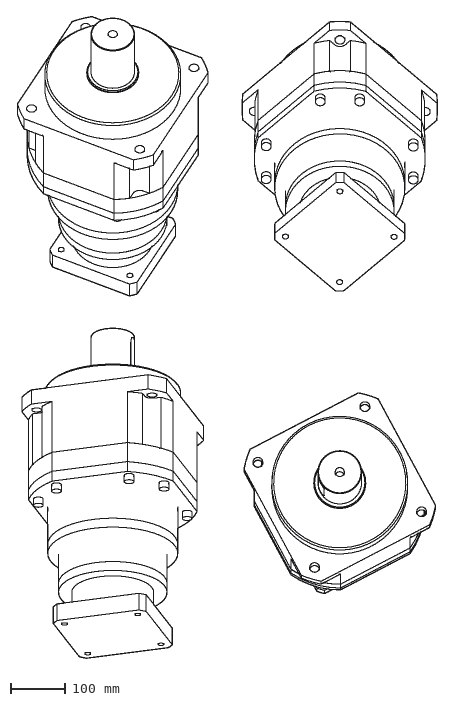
import cadquery as cq
import math


MOTOR_PLATE_TOP = 33.5
INPUT_DISC_BOTTOM = 84.0
INPUT_TOP = 102.0
STAGE_2_SHOULDER = 162.5
STAGE_2_TOP = 180.0
STAGE_1_SHOULDER = 259.0
STAGE_1_TOP = 278.5
RING_GEAR_TOP = 317.0
FLANGE_BOTTOM = 419.5
FLANGE_TOP = 448.0
PILOT_TOP = 490.0
COLLAR_TOP = 493.5
SHAFT_TOP = 599.0

BODY_SIDE = 280.0
BODY_CORNER_RADIUS = 157.5
FLANGE_CORNER_RADIUS = 179.5
MOTOR_PLATE_SIDE = 179.5
MOTOR_PLATE_CORNER_RADIUS = 120.0

SHAFT_RADIUS = 40.0
COLLAR_RADIUS = 48.0
PILOT_RADIUS = 125.0
STAGE_1_RADIUS = 120.0
STAGE_2_RADIUS = 100.0
INPUT_NECK_RADIUS = 75.5

SHAFT_CHAMFER = 1.0
COLLAR_CHAMFER = 2.0
PILOT_CHAMFER = 3.5
STAGE_1_FILLET = 5.0
STAGE_2_FILLET = 3.5

MOUNT_HOLE_OFFSET = 111.5
MOUNT_HOLE_DIAMETER = 18.0
NOTCH_RADIUS = 14.5
MOTOR_HOLE_OFFSET = 70.5
MOTOR_HOLE_DIAMETER = 11.0

SCREW_CIRCLE_RADIUS = 140.0
SCREW_HEAD_RADIUS = 9.0
SCREW_HEAD_HEIGHT = 12.5
SCREW_ANGLE_FROM_SIDE = 30.0

CENTRE_HOLE_RADIUS = 8.5
CENTRE_HOLE_DEPTH = 42.0
DRILL_POINT_ANGLE = 118.0
KEYWAY_WIDTH = 22.0
KEYWAY_DEPTH = 9.0
KEYWAY_LENGTH = 90.0


def cylinder(radius, bottom, top):
    return cq.Workplane("XY").workplane(offset=bottom).circle(radius).extrude(top - bottom)


def rounded_square(side, corner_radius, bottom, top):
    """Square block whose corners are cut back to a circle about the axis."""
    height = top - bottom
    block = cq.Workplane("XY").workplane(offset=bottom).rect(side, side).extrude(height)
    return block.intersect(cylinder(corner_radius, bottom, top))


def corner_holes(offset, diameter, bottom, top):
    """Four vertical drills on the diagonals, as one cutting tool."""
    plane = cq.Workplane("XY").workplane(offset=bottom)
    corners = plane.rect(2 * offset, 2 * offset, forConstruction=True).vertices()
    return corners.circle(diameter / 2).extrude(top - bottom)


def corner_notch():
    """Notch open to the -X and -Y sides, its inner corner rounded about the mounting hole."""
    inner = -MOUNT_HOLE_OFFSET + NOTCH_RADIUS
    outer = -BODY_SIDE / 2
    width = inner - outer
    middle = (inner + outer) / 2
    block = cq.Workplane("XY").box(width, width, FLANGE_BOTTOM - RING_GEAR_TOP)
    block = block.edges("|Z and >X and >Y").fillet(NOTCH_RADIUS)
    return block.translate((middle, middle, (FLANGE_BOTTOM + RING_GEAR_TOP) / 2))


def keyway():
    """Round-ended slot centred along the exposed length of the shaft."""
    floor = SHAFT_RADIUS - KEYWAY_DEPTH
    middle = (COLLAR_TOP + SHAFT_TOP) / 2
    plane = cq.Workplane("XZ", origin=(0, floor, middle))
    return plane.slot2D(KEYWAY_LENGTH, KEYWAY_WIDTH, 90).extrude(-SHAFT_RADIUS)


def centre_hole():
    floor = SHAFT_TOP - CENTRE_HOLE_DEPTH
    point = floor - CENTRE_HOLE_RADIUS / math.tan(math.radians(DRILL_POINT_ANGLE / 2))
    profile = (
        cq.Workplane("XZ")
        .moveTo(0, SHAFT_TOP)
        .lineTo(CENTRE_HOLE_RADIUS, SHAFT_TOP)
        .lineTo(CENTRE_HOLE_RADIUS, floor)
        .lineTo(0, point)
        .close()
    )
    return profile.revolve(360, (0, 0), (0, 1))


def make_shaft():
    shaft = cylinder(SHAFT_RADIUS, FLANGE_TOP, SHAFT_TOP)
    shaft = shaft.faces(">Z").chamfer(SHAFT_CHAMFER)
    return shaft.cut(centre_hole()).cut(keyway())


def make_output_housing():
    """Notched gear case, mounting flange, pilot and collar, with the output shaft."""
    case = rounded_square(BODY_SIDE, BODY_CORNER_RADIUS, RING_GEAR_TOP, FLANGE_BOTTOM)
    notch = corner_notch()
    for corner in range(4):
        case = case.cut(notch.rotate((0, 0, 0), (0, 0, 1), 90 * corner))

    flange = rounded_square(BODY_SIDE, FLANGE_CORNER_RADIUS, FLANGE_BOTTOM, FLANGE_TOP)
    flange = flange.cut(corner_holes(MOUNT_HOLE_OFFSET, MOUNT_HOLE_DIAMETER, FLANGE_BOTTOM, FLANGE_TOP))

    pilot = cylinder(PILOT_RADIUS, FLANGE_TOP, PILOT_TOP).faces(">Z").chamfer(PILOT_CHAMFER)
    collar = cylinder(COLLAR_RADIUS, FLANGE_TOP, COLLAR_TOP).faces(">Z").chamfer(COLLAR_CHAMFER)
    return case.union(flange).union(pilot).union(collar).union(make_shaft()).clean()


def make_ring_gear():
    return rounded_square(BODY_SIDE, BODY_CORNER_RADIUS, STAGE_1_TOP, RING_GEAR_TOP)


def root_fillet(radius, fillet, shoulder):
    """Ring with a concave quarter-round between a cylinder and the shoulder above it."""
    toe = shoulder - fillet
    outer = radius + fillet
    bulge = fillet * (1 - math.sqrt(0.5))
    profile = (
        cq.Workplane("XZ")
        .moveTo(0, toe)
        .lineTo(radius, toe)
        .threePointArc((radius + bulge, shoulder - bulge), (outer, shoulder))
        .lineTo(0, shoulder)
        .close()
    )
    return profile.revolve(360, (0, 0), (0, 1))


def screw_heads():
    """Eight heads, a pair beside each rounded corner."""
    bottom = STAGE_1_SHOULDER - SCREW_HEAD_HEIGHT
    head = cylinder(SCREW_HEAD_RADIUS, bottom, STAGE_1_SHOULDER).translate((SCREW_CIRCLE_RADIUS, 0, 0))
    heads = []
    for side in range(4):
        for lean in (-SCREW_ANGLE_FROM_SIDE, SCREW_ANGLE_FROM_SIDE):
            heads.append(head.rotate((0, 0, 0), (0, 0, 1), 90 * side + lean))
    return heads


def make_first_stage():
    """Square flange carrying the screw heads, with the first stage cylinder below it."""
    stage = rounded_square(BODY_SIDE, BODY_CORNER_RADIUS, STAGE_1_SHOULDER, STAGE_1_TOP)
    stage = stage.union(cylinder(STAGE_1_RADIUS, STAGE_2_TOP, STAGE_1_SHOULDER))
    stage = stage.union(root_fillet(STAGE_1_RADIUS, STAGE_1_FILLET, STAGE_1_SHOULDER))
    for head in screw_heads():
        stage = stage.union(head)
    return stage


def make_second_stage():
    """Disc as wide as the first stage, with the second stage cylinder below it."""
    stage = cylinder(STAGE_1_RADIUS, STAGE_2_SHOULDER, STAGE_2_TOP)
    stage = stage.union(cylinder(STAGE_2_RADIUS, INPUT_TOP, STAGE_2_SHOULDER))
    return stage.union(root_fillet(STAGE_2_RADIUS, STAGE_2_FILLET, STAGE_2_SHOULDER))


def make_input_flange():
    """Disc as wide as the second stage, a neck, and the square motor plate."""
    plate = rounded_square(MOTOR_PLATE_SIDE, MOTOR_PLATE_CORNER_RADIUS, 0, MOTOR_PLATE_TOP)
    plate = plate.cut(corner_holes(MOTOR_HOLE_OFFSET, MOTOR_HOLE_DIAMETER, 0, MOTOR_PLATE_TOP))
    neck = cylinder(INPUT_NECK_RADIUS, MOTOR_PLATE_TOP, INPUT_DISC_BOTTOM)
    disc = cylinder(STAGE_2_RADIUS, INPUT_DISC_BOTTOM, INPUT_TOP)
    return plate.union(neck).union(disc)


output_housing = make_output_housing()
ring_gear = make_ring_gear()
first_stage = make_first_stage()
second_stage = make_second_stage()
input_flange = make_input_flange()

result = cq.Compound.makeCompound(
    [
        output_housing.val(),
        ring_gear.val(),
        first_stage.val(),
        second_stage.val(),
        input_flange.val(),
    ]
)